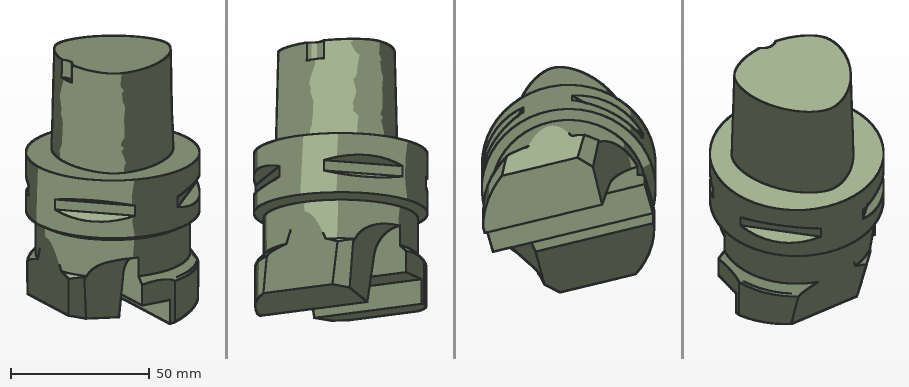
import cadquery as cq
import math

total_height = 96.0
flange_top = 58.1
flange_bottom = 36.0
neck_top = 34.1

flange_radius = 63.0 / 2
neck_radius = 56.0 / 2
head_radius = 31.0
neck_bottom = 19.7
shoulder_radius = 30.5
shoulder_height = neck_bottom - (shoulder_radius - neck_radius)
head_cylinder_top = 16.1
head_half_width = 30.0

shank_base_radius = 22.1
shank_top_radius = 21.1
lobe_height = 1.5
shank_points = 48

notch_radius = 4.7
notch_depth = 6.7
notch_bottom_y = -18.0

gripper_count = 4
gripper_flat_distance = 27.7
gripper_middle_height = 46.2
gripper_flat_height = 3.8
gripper_side_angle = 30.0

flat_apex_height = 30.2
flat_slope = 0.112
relief_reach = 33.9
relief_slope = 0.307
slot_half_width = 5.9
slot_height = 9.2
end_slope = 0.15
pocket_wall_x = 14.0
pocket_wall_angle = 9.3
pocket_arc_start = 17.3
pocket_top = 26.9

clear = 57.6


def turned_body():
    return (
        cq.Workplane("XZ")
        .polyline([
            (0, 0),
            (head_radius, 0),
            (head_radius, head_cylinder_top),
            (shoulder_radius, shoulder_height),
            (neck_radius, neck_bottom),
            (neck_radius, neck_top),
            (flange_radius, flange_bottom),
            (flange_radius, flange_top),
            (0, flange_top),
        ])
        .close()
        .revolve(360, (0, 0, 0), (0, 1, 0))
    )


def lobed_wire(plane, radius):
    """Closed curve with three rounded lobes, one of them pointing to +Y."""
    points = []
    for i in range(shank_points):
        a = 2 * math.pi * i / shank_points
        along = radius * math.cos(a) + lobe_height * (2 * math.cos(2 * a) - math.cos(4 * a))
        across = radius * math.sin(a) - lobe_height * (2 * math.sin(2 * a) + math.sin(4 * a))
        points.append((-across, along))
    return plane.spline(points, periodic=True).close()


def shank():
    base = lobed_wire(cq.Workplane("XY").workplane(offset=flange_top), shank_base_radius)
    top_plane = base.workplane(offset=total_height - flange_top)
    body = lobed_wire(top_plane, shank_top_radius).loft(ruled=True)
    notch = (
        cq.Workplane("XY")
        .workplane(offset=total_height - notch_depth)
        .center(0, notch_bottom_y - notch_radius)
        .circle(notch_radius)
        .extrude(notch_depth)
    )
    return body.cut(notch)


def gripper_slot():
    """Flat-bottomed slot with flared sides, open towards +X."""
    half_inner = gripper_flat_height / 2
    outer_x = flange_radius + 1
    flare = (outer_x - gripper_flat_distance) * math.tan(math.radians(gripper_side_angle))
    half_outer = half_inner + flare
    return (
        cq.Workplane("XZ")
        .center(0, gripper_middle_height)
        .polyline([
            (gripper_flat_distance, -half_inner),
            (outer_x, -half_outer),
            (outer_x, half_outer),
            (gripper_flat_distance, half_inner),
        ])
        .close()
        .extrude(flange_radius, both=True)
    )


def leaning_flat():
    """Everything outside the flat that leans inwards towards the cutting end."""
    bottom_y = -neck_radius + flat_slope * flat_apex_height
    return (
        cq.Workplane("YZ")
        .polyline([
            (-neck_radius, flat_apex_height),
            (bottom_y, 0),
            (-clear, 0),
            (-clear, flat_apex_height),
        ])
        .close()
        .extrude(clear, both=True)
    )


def corner_relief():
    """Leaning facet across the corner between the flat and the pocket."""
    bottom = relief_reach / math.sqrt(2)
    top = (relief_reach + relief_slope * neck_bottom) / math.sqrt(2)
    return (
        cq.Workplane("XZ")
        .polyline([(bottom, 0), (clear, 0), (clear, neck_bottom), (top, neck_bottom)])
        .close()
        .extrude(clear, both=True)
        .rotate((0, 0, 0), (0, 0, 1), -45)
    )


def insert_pocket():
    """Chip pocket with a leaning wall that curves out into its roof."""
    lean = math.radians(pocket_wall_angle)
    arc_x = pocket_wall_x + pocket_arc_start * math.tan(lean)
    arc_radius = (pocket_top - pocket_arc_start) / (1 - math.sin(lean))
    roof_x = arc_x + arc_radius * math.cos(lean)
    return (
        cq.Workplane("XZ", origin=(0, -slot_half_width, 0))
        .moveTo(pocket_wall_x, 0)
        .lineTo(arc_x, pocket_arc_start)
        .tangentArcPoint((roof_x, pocket_top), relative=False)
        .lineTo(clear, pocket_top)
        .lineTo(clear, 0)
        .close()
        .extrude(clear)
    )


def sloped_end():
    """Wedge below the end face, which rises away from the slot."""
    return (
        cq.Workplane("YZ")
        .polyline([
            (-slot_half_width, 0),
            (-clear, 0),
            (-clear, end_slope * (clear - slot_half_width)),
        ])
        .close()
        .extrude(clear, both=True)
    )


def side_flat():
    return cq.Workplane("XY").box(
        clear, 2 * clear, neck_bottom, centered=(False, True, False)
    ).translate((head_half_width, 0, 0))


result = turned_body().union(shank())

for i in range(gripper_count):
    angle = 45 + i * 360 / gripper_count
    result = result.cut(gripper_slot().rotate((0, 0, 0), (0, 0, 1), angle))

for half_turn in (0, 180):
    for cutter in (leaning_flat(), corner_relief(), insert_pocket(), sloped_end(), side_flat()):
        result = result.cut(cutter.rotate((0, 0, 0), (0, 0, 1), half_turn))

end_slot = cq.Workplane("XY").box(
    2 * clear, 2 * slot_half_width, slot_height, centered=(True, True, False)
)
result = result.cut(end_slot)